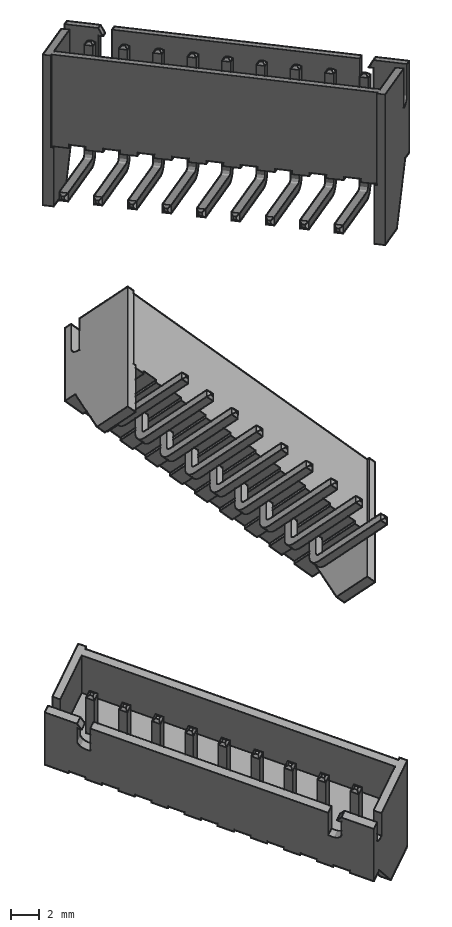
import cadquery as cq


pin_count = 9
pitch = 2.5
row_half = (pin_count - 1) * pitch / 2

body_length = 24.9
body_height = 7.0
wall = 0.6
floor_thickness = 2.0
back_y = 2.7
body_depth = 5.9
body_front_y = back_y - body_depth
half_length = body_length / 2

leg_proud = 0.2
leg_front_y = body_front_y - leg_proud
leg_drop = 4.5
leg_thickness = 0.8
leg_top_setback = 1.0
leg_foot_depth = 3.0

notch_width = 1.25
notch_height = 0.25

slot_depth = 3.0
slot_radius = 0.7
slot_bottom_z = body_height - slot_depth
end_slot_width = 0.8
tab_edge_x = 10.0
center_wall_edge_x = 9.0
hook_reach = 0.35
hook_height = 0.6

pin_size = 0.64
pin_half = pin_size / 2
pin_top_z = 6.9
pin_tail_z = -2.2
tail_length = 6.8
tip_chamfer = 0.2
bend_inner_radius = 0.3
bend_outer_radius = bend_inner_radius + pin_size


def box(x_range, y_range, z_range):
    """Box spanning the given (low, high) ranges."""
    size = [high - low for low, high in (x_range, y_range, z_range)]
    return cq.Workplane("XY").box(*size, centered=False).translate((x_range[0], y_range[0], z_range[0]))


def both_ends(shape):
    """The shape at +X joined with its mirror image at -X."""
    return shape.union(shape.mirror("YZ"))


def make_shell():
    """Open-topped box with the end strips that stand out from its front wall."""
    inner_x = half_length - wall
    shell = box((-half_length, half_length), (body_front_y, back_y), (0, body_height))
    cavity = box((-inner_x, inner_x), (body_front_y + wall, back_y - wall), (floor_thickness, body_height))
    strip = box((inner_x, half_length), (leg_front_y, body_front_y), (0, body_height))
    return shell.cut(cavity).union(both_ends(strip))


def make_leg():
    """Tapered mounting leg below the +X end of the body."""
    profile = [
        (leg_front_y, 0),
        (back_y - leg_top_setback, 0),
        (leg_front_y + leg_foot_depth, -leg_drop),
        (leg_front_y, -leg_drop),
    ]
    leg = cq.Workplane("YZ").polyline(profile).close().extrude(leg_thickness)
    return leg.translate((half_length - leg_thickness, 0, 0))


def rounded_slot(plane, start, width, length):
    """Slot running up through the top, its floor rounded into the wall at 'start'.

    The slot extends by 'width' from 'start' toward lower coordinates.
    """
    return (
        cq.Workplane(plane)
        .moveTo(start, body_height)
        .lineTo(start, slot_bottom_z + slot_radius)
        .radiusArc((start - slot_radius, slot_bottom_z), slot_radius)
        .lineTo(start - width, slot_bottom_z)
        .lineTo(start - width, body_height)
        .close()
        .extrude(length)
    )


def make_end_slot():
    """Slot through the +X end wall, just in front of the back wall."""
    slot = rounded_slot("YZ", back_y - wall, end_slot_width, wall)
    return slot.translate((half_length - wall, 0, 0))


def make_back_slot():
    """Slot through the back wall beside the +X latch tab."""
    slot = rounded_slot("XZ", tab_edge_x, tab_edge_x - center_wall_edge_x, wall)
    return slot.translate((0, back_y, 0))


def make_hook():
    """Wedge hook on the inner top edge of the +X latch tab."""
    underside_z = body_height - hook_height
    profile = [
        (tab_edge_x, body_height),
        (tab_edge_x - hook_reach, underside_z),
        (tab_edge_x, underside_z),
    ]
    hook = cq.Workplane("XZ").polyline(profile).close().extrude(wall)
    return hook.translate((0, back_y, 0))


def make_housing():
    housing = make_shell().union(both_ends(make_leg()))
    housing = housing.cut(both_ends(make_end_slot())).cut(both_ends(make_back_slot()))
    housing = housing.union(both_ends(make_hook()))
    for x in pin_positions:
        notch = box((x - notch_width / 2, x + notch_width / 2), (body_front_y, back_y), (0, notch_height))
        pin_hole = box((x - pin_half, x + pin_half), (-pin_half, pin_half), (0, floor_thickness))
        housing = housing.cut(notch).cut(pin_hole)
    return housing


def pin_tip(plane):
    """Tapered square tip that starts on the given plane."""
    end_size = pin_size - 2 * tip_chamfer
    return (
        cq.Workplane(plane)
        .rect(pin_size, pin_size)
        .workplane(offset=tip_chamfer)
        .rect(end_size, end_size)
        .loft(ruled=True)
    )


def make_pin(x):
    """Square pin bent at a right angle, with a rounded bend and chamfered ends."""
    post_end_z = pin_top_z - tip_chamfer
    tail_end_y = -tail_length + tip_chamfer
    tail_top_z = pin_tail_z + pin_half
    tail_bottom_z = pin_tail_z - pin_half
    post_and_tail = (
        cq.Workplane("YZ")
        .moveTo(pin_half, post_end_z)
        .lineTo(-pin_half, post_end_z)
        .lineTo(-pin_half, tail_top_z + bend_inner_radius)
        .radiusArc((-pin_half - bend_inner_radius, tail_top_z), bend_inner_radius)
        .lineTo(tail_end_y, tail_top_z)
        .lineTo(tail_end_y, tail_bottom_z)
        .lineTo(pin_half - bend_outer_radius, tail_bottom_z)
        .radiusArc((pin_half, tail_bottom_z + bend_outer_radius), -bend_outer_radius)
        .close()
        .extrude(pin_half, both=True)
    )
    post_tip = pin_tip("XY").translate((0, 0, post_end_z))
    tail_tip = pin_tip("XZ").translate((0, tail_end_y, pin_tail_z))
    return post_and_tail.union(post_tip).union(tail_tip).translate((x, 0, 0))


pin_positions = [i * pitch - row_half for i in range(pin_count)]

housing = make_housing()
pins = [make_pin(x) for x in pin_positions]

result = cq.Compound.makeCompound([housing.val(), *[pin.val() for pin in pins]])